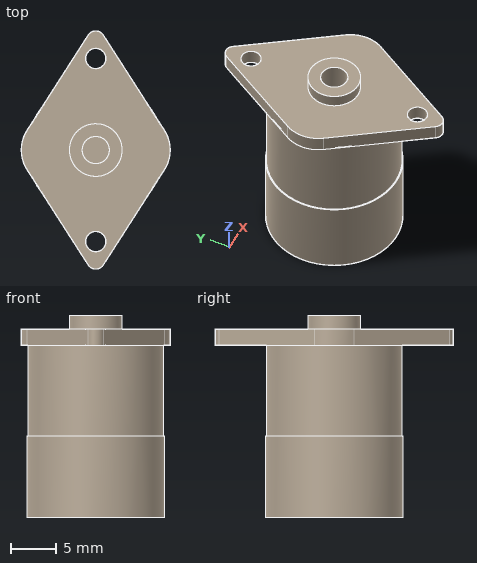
import cadquery as cq
import math

flange_width = 16.46
flange_length = 26.3
total_height = 22.3

base_diameter = 15.2
base_height = 9.0
barrel_diameter = 15.0
barrel_height = 10.0

boss_diameter = 5.8
boss_height = 1.5
bore_diameter = 3.0

flange_bottom = base_height + barrel_height
flange_thickness = total_height - boss_height - flange_bottom
side_radius = 4.0
tip_radius = 1.0
mount_hole_diameter = 2.2
mount_hole_spacing = 20.2

bore_depth = boss_height + flange_thickness


def make_body():
    """Round base with the slightly narrower barrel above it."""
    base = cq.Workplane("XY").circle(base_diameter / 2).extrude(base_height)
    barrel = (
        cq.Workplane("XY", origin=(0, 0, base_height))
        .circle(barrel_diameter / 2)
        .extrude(barrel_height)
    )
    return base.union(barrel)


def make_flange():
    """Diamond plate: four corner arcs joined by their common tangents."""
    half_width = flange_width / 2
    half_length = flange_length / 2
    side_center = half_width - side_radius
    tip_center = half_length - tip_radius

    center_distance = math.hypot(side_center, tip_center)
    normal_angle = math.atan2(side_center, tip_center) + math.asin(
        (side_radius - tip_radius) / center_distance
    )
    normal_x = math.cos(normal_angle)
    normal_y = math.sin(normal_angle)

    side_x = side_center + side_radius * normal_x
    side_y = side_radius * normal_y
    tip_x = tip_radius * normal_x
    tip_y = tip_center + tip_radius * normal_y

    return (
        cq.Workplane("XY", origin=(0, 0, flange_bottom))
        .moveTo(side_x, -side_y)
        .threePointArc((half_width, 0), (side_x, side_y))
        .lineTo(tip_x, tip_y)
        .threePointArc((0, half_length), (-tip_x, tip_y))
        .lineTo(-side_x, side_y)
        .threePointArc((-half_width, 0), (-side_x, -side_y))
        .lineTo(-tip_x, -tip_y)
        .threePointArc((0, -half_length), (tip_x, -tip_y))
        .close()
        .extrude(flange_thickness)
        .faces(">Z")
        .workplane(origin=(0, 0, 0))
        .pushPoints([(0, end * mount_hole_spacing / 2) for end in (-1, 1)])
        .hole(mount_hole_diameter)
    )


def make_boss():
    return (
        cq.Workplane("XY", origin=(0, 0, total_height - boss_height))
        .circle(boss_diameter / 2)
        .extrude(boss_height)
    )


def make_bore():
    return (
        cq.Workplane("XY", origin=(0, 0, total_height - bore_depth))
        .circle(bore_diameter / 2)
        .extrude(bore_depth)
    )


result = make_body().union(make_flange()).union(make_boss()).cut(make_bore())